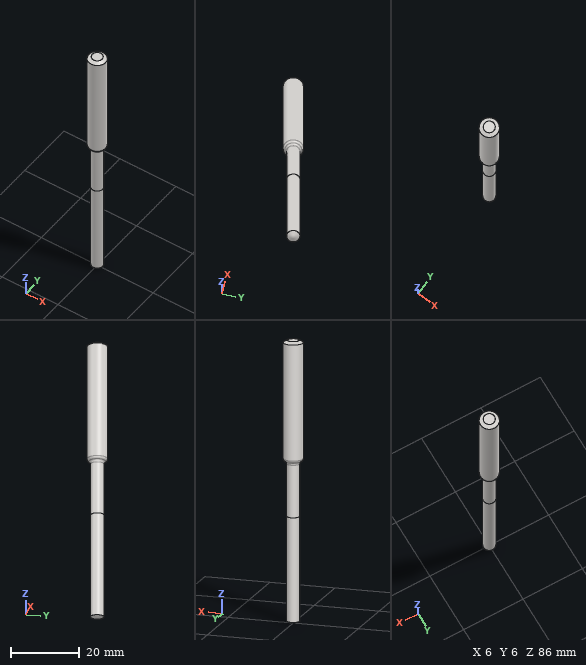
import cadquery as cq
import math

total_length = 86.0
shank_diameter = 6.0
neck_diameter = 3.95
bit_length = 32.5
point_angle = 144.0
shank_lower_end = 50.05
blend_radius = 0.9
top_face_diameter = 3.5
top_chamfer_height = 0.7

shank_radius = shank_diameter / 2
neck_radius = neck_diameter / 2
top_face_radius = top_face_diameter / 2
point_height = neck_radius / math.tan(math.radians(point_angle / 2))

shoulder_step = shank_radius - neck_radius
blend_angle = math.acos(1 - shoulder_step / (2 * blend_radius))
shoulder_height = 2 * blend_radius * math.sin(blend_angle)
neck_upper_end = shank_lower_end - shoulder_height
blend_middle = (
    (shank_radius + neck_radius) / 2,
    shank_lower_end - shoulder_height / 2,
)


def make_holder():
    """Shank with a chamfered top, blended shoulder and neck, turned about Z."""
    profile = (
        cq.Workplane("XZ")
        .moveTo(0, bit_length)
        .lineTo(neck_radius, bit_length)
        .lineTo(neck_radius, neck_upper_end)
        .tangentArcPoint(blend_middle, relative=False)
        .tangentArcPoint((shank_radius, shank_lower_end), relative=False)
        .lineTo(shank_radius, total_length - top_chamfer_height)
        .lineTo(top_face_radius, total_length)
        .lineTo(0, total_length)
        .close()
    )
    return profile.revolve(360, (0, 0, 0), (0, 1, 0))


def make_bit():
    """Round bit with a conical point, butted flat against the neck."""
    profile = (
        cq.Workplane("XZ")
        .lineTo(neck_radius, point_height)
        .lineTo(neck_radius, bit_length)
        .lineTo(0, bit_length)
        .close()
    )
    return profile.revolve(360, (0, 0, 0), (0, 1, 0))


holder = make_holder()
bit = make_bit()

result = cq.Compound.makeCompound([holder.val(), bit.val()])